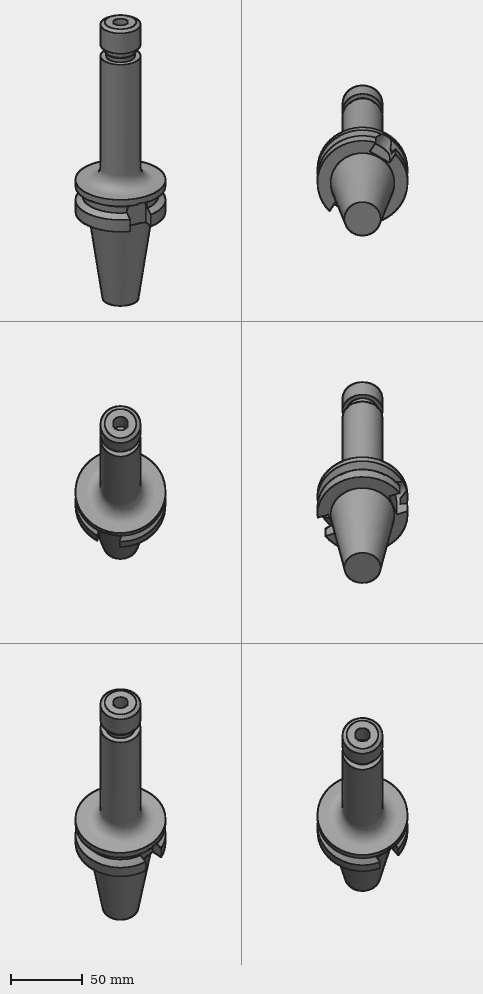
import cadquery as cq
import math

total_height = 215.5

taper_length = 65.5
gauge_radius = 22.2
taper_rate = 7 / 24
taper_tip_radius = gauge_radius - taper_length * taper_rate / 2

flange_bottom = 67.5
flange_top = 92.5
flange_radius = 31.5
groove_radius = 26.5
groove_center = 82.0
groove_floor_width = 5.0
groove_flank_angle = 30.0

shank_radius = 14.0
shank_top = 189.1
blend_radius = 10.0

lower_neck_radius = 10.1
upper_neck_radius = 11.0
neck_step_bottom = 192.1
neck_step_top = 193.2

nut_bottom = 197.7
nut_radius = shank_radius
nut_face_radius = 11.0
nut_chamfer_height = 1.7
bore_diameter = 10.3
bore_depth = total_height - nut_bottom

slot_width = 16.2
slot_floor_distance = 22.6
slot_top = 88.3


def revolved_body():
    """Revolve the half profile of the whole holder around Z."""
    floor_half = groove_floor_width / 2
    flank_height = (flange_radius - groove_radius) * math.tan(math.radians(groove_flank_angle))
    edge_half = floor_half + flank_height
    diagonal = blend_radius * (1 - math.sqrt(0.5))
    return (
        cq.Workplane("XZ")
        .lineTo(taper_tip_radius, 0)
        .lineTo(gauge_radius, taper_length)
        .lineTo(gauge_radius, flange_bottom)
        .lineTo(flange_radius, flange_bottom)
        .lineTo(flange_radius, groove_center - edge_half)
        .lineTo(groove_radius, groove_center - floor_half)
        .lineTo(groove_radius, groove_center + floor_half)
        .lineTo(flange_radius, groove_center + edge_half)
        .lineTo(flange_radius, flange_top)
        .lineTo(shank_radius + blend_radius, flange_top)
        .threePointArc(
            (shank_radius + diagonal, flange_top + diagonal),
            (shank_radius, flange_top + blend_radius),
        )
        .lineTo(shank_radius, shank_top)
        .lineTo(lower_neck_radius, shank_top)
        .lineTo(lower_neck_radius, neck_step_bottom)
        .lineTo(upper_neck_radius, neck_step_top)
        .lineTo(upper_neck_radius, nut_bottom)
        .lineTo(nut_radius, nut_bottom)
        .lineTo(nut_radius, total_height - nut_chamfer_height)
        .lineTo(nut_face_radius, total_height)
        .lineTo(0, total_height)
        .close()
        .revolve(360, (0, 0, 0), (0, 1, 0))
    )


def drive_slot(side):
    """Round-topped slot cutter, open downward; side is -1 or +1 along X."""
    half_width = slot_width / 2
    arc_start = slot_top - half_width
    depth = flange_radius - slot_floor_distance
    return (
        cq.Workplane("YZ", origin=(side * slot_floor_distance, 0, 0))
        .moveTo(-half_width, flange_bottom)
        .lineTo(-half_width, arc_start)
        .threePointArc((0, slot_top), (half_width, arc_start))
        .lineTo(half_width, flange_bottom)
        .close()
        .extrude(side * depth)
    )


result = revolved_body()
for side in (-1, 1):
    result = result.cut(drive_slot(side))

result = result.faces(">Z").workplane().hole(bore_diameter, bore_depth)